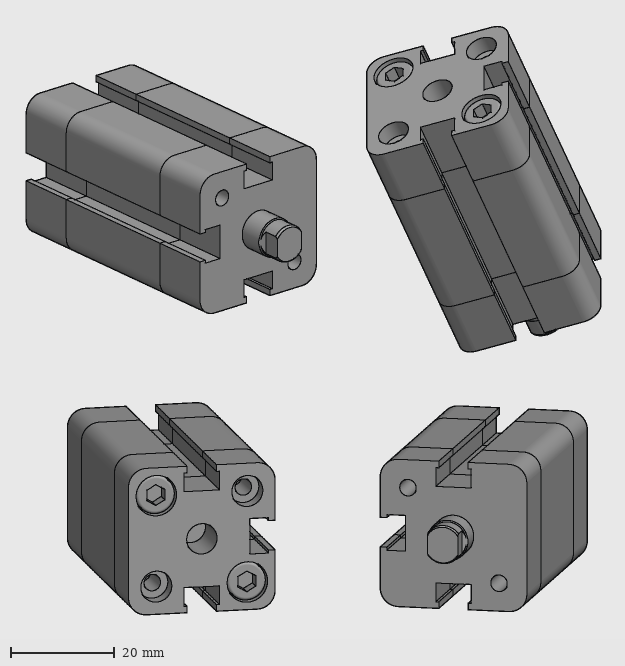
import cadquery as cq
import math


total_length = 62.5
body_side = 29.0
body_length = 53.0
cap_length = 12.25
corner_radius = 3.55
half_side = body_side / 2
rod_cap_start = body_length - cap_length

slot_mouth_width = 5.8
slot_width = 7.0
slot_lip = 1.3
slot_depth = 5
slot_angles = [0, 90, 180]

half_spacing = 18.0 / 2
mounting_places = [(half_spacing, -half_spacing), (-half_spacing, half_spacing)]
screw_places = [(-half_spacing, -half_spacing), (half_spacing, half_spacing)]

mounting_bore_diameter = 3.25
counterbore_diameter = 6.1
counterbore_depth = 3.5

groove_diameter = 8.0
groove_depth = 4.0
head_diameter = 7.55
head_recess = 0.5
head_round = 0.55
socket_across_flats = 3.55
socket_depth = 3.0

center_hole_diameter = 6.0
center_hole_depth = 10

rod_diameter = 8.0
rod_shoulder = body_length + 5.3
shoulder_chamfer = 0.2
tip_diameter = 7.5
tip_chamfer_length = 0.55
tip_chamfer_height = 0.25
flat_spacing = 6.0
flat_start = body_length + 6.0


def make_cylinder(diameter, start, end, place=(0, 0)):
    """Cylinder along X between two X positions, centered on a (Y, Z) place."""
    y, z = place
    return cq.Workplane("YZ", origin=(start, y, z)).circle(diameter / 2).extrude(end - start)


def make_slot(start, end, angle):
    """Material removed by one T-slot."""
    depth_center = half_side - slot_depth / 2
    inner_height = slot_depth - slot_lip
    inner_center = half_side - slot_depth + inner_height / 2
    length = end - start
    along = (start + end) / 2
    mouth = cq.Workplane("XY", origin=(along, 0, depth_center)).box(length, slot_mouth_width, slot_depth)
    inner = cq.Workplane("XY", origin=(along, 0, inner_center)).box(length, slot_width, inner_height)
    return mouth.union(inner).rotate((0, 0, 0), (1, 0, 0), angle)


def make_section(start, end):
    """Length of slotted housing profile with its two mounting bores."""
    section = cq.Workplane("YZ", origin=(start, 0, 0)).rect(body_side, body_side).extrude(end - start)
    section = section.edges("|X").fillet(corner_radius)
    for angle in slot_angles:
        section = section.cut(make_slot(start, end, angle))
    for place in mounting_places:
        section = section.cut(make_cylinder(mounting_bore_diameter, start, end, place))
    return section


def make_screw_head(place):
    """Rounded screw head with a hexagon socket, standing on the floor of its groove."""
    y, z = place
    head = make_cylinder(head_diameter, head_recess, groove_depth, place)
    head = head.faces("<X").edges().fillet(head_round)
    across_corners = socket_across_flats / math.cos(math.pi / 6)
    socket = (
        cq.Workplane("YZ", origin=(head_recess, y, z))
        .transformed(rotate=(0, 0, 90))
        .polygon(6, across_corners)
        .extrude(socket_depth)
    )
    return head.cut(socket)


def make_end_cap():
    cap = make_section(0, cap_length)
    cap = cap.cut(make_cylinder(center_hole_diameter, 0, center_hole_depth))
    for place in mounting_places:
        cap = cap.cut(make_cylinder(counterbore_diameter, 0, counterbore_depth, place))
    for place in screw_places:
        cap = cap.cut(make_cylinder(groove_diameter, 0, groove_depth, place))
        cap = cap.union(make_screw_head(place))
    return cap


def make_barrel():
    return make_section(cap_length, rod_cap_start)


def make_rod_cap():
    rod_bore = make_cylinder(rod_diameter, rod_cap_start, body_length)
    return make_section(rod_cap_start, body_length).cut(rod_bore)


def make_wrench_flat(side):
    """Material removed by the flat on one side (+1 or -1 in Y), with a 45 degree run-out."""
    rod_radius = rod_diameter / 2
    flat_height = flat_spacing / 2
    runout_start = flat_start - (rod_radius - flat_height)
    outline = [
        (flat_start, side * flat_height),
        (total_length, side * flat_height),
        (total_length, side * rod_radius),
        (runout_start, side * rod_radius),
    ]
    return cq.Workplane("XY").polyline(outline).close().extrude(rod_radius, both=True)


def make_piston_rod():
    rod_radius = rod_diameter / 2
    tip_radius = tip_diameter / 2
    half_profile = [
        (rod_cap_start, 0),
        (rod_cap_start, rod_radius),
        (rod_shoulder - shoulder_chamfer, rod_radius),
        (rod_shoulder, tip_radius),
        (total_length - tip_chamfer_length, tip_radius),
        (total_length, tip_radius - tip_chamfer_height),
        (total_length, 0),
    ]
    rod = cq.Workplane("XY").polyline(half_profile).close().revolve(360, (0, 0, 0), (1, 0, 0))
    for side in (-1, 1):
        rod = rod.cut(make_wrench_flat(side))
    return rod


end_cap = make_end_cap()
barrel = make_barrel()
rod_cap = make_rod_cap()
piston_rod = make_piston_rod()

result = cq.Compound.makeCompound([end_cap.val(), barrel.val(), rod_cap.val(), piston_rod.val()])